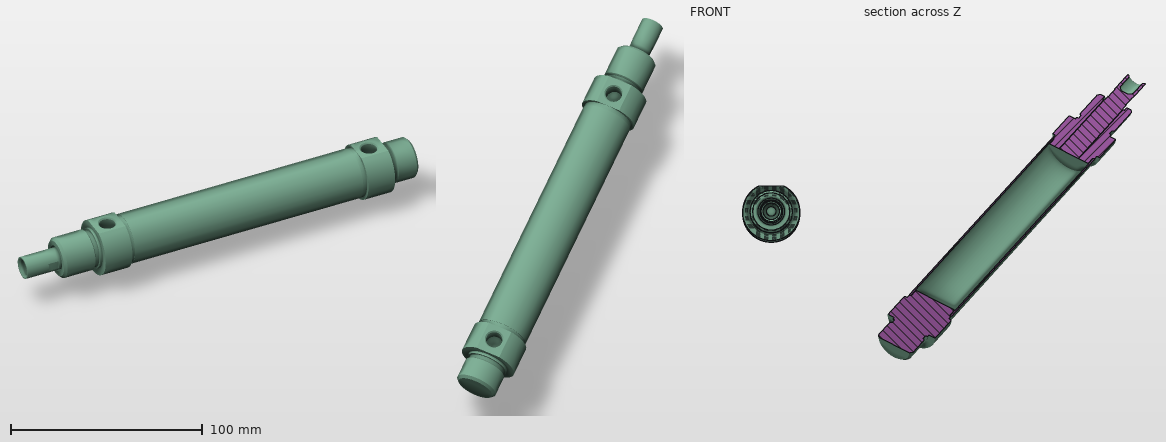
import cadquery as cq
import math

PITCH_ANGLE = -0.35
PITCHED_LENGTH = 225.0

NOSE_START = 19.4
NOSE_LENGTH = 17.5
TAIL_LENGTH = 12.0
NECK_LENGTH = 2.7
COLLAR_LENGTH = 1.4
BLOCK_LENGTH = 15.5
SPIGOT_LENGTH = 2.3
PLUG_LENGTH = 4.5

BLOCK_DIAMETER = 30.0
TUBE_DIAMETER = 27.0
SPIGOT_DIAMETER = 26.5
TUBE_BORE = 25.0
THREAD_DIAMETER = 22.0
NECK_DIAMETER = 19.8
ROD_DIAMETER = 12.0
THREAD_CHAMFER = 1.4
NECK_TAPER = 0.7

FLAT_HEIGHT = 13.5
PORT_DIAMETER = 8.5
PORT_CHAMFER = 0.7
PORT_OFFSET = 8.0
REAR_PORT_FLOOR = 6.8
DRILL_POINT_ANGLE = 118.0

NOSE_RECESS_DIAMETER = 14.0
NOSE_RECESS_DEPTH = 2.3
WRENCH_FLAT_SPAN = 11.0
WRENCH_FLAT_LENGTH = 5.9
WRENCH_FLAT_GAP = 1.1
ROD_MOUTH_DIAMETER = 10.5
ROD_BORE_DIAMETER = 8.5
ROD_BORE_DEPTH = 11.3
ROD_BORE_TIP_DIAMETER = 5.0

PITCH = math.radians(abs(PITCH_ANGLE))
END_FACE_RADII = ROD_DIAMETER / 2 + THREAD_DIAMETER / 2 - THREAD_CHAMFER
OVERALL_LENGTH = (PITCHED_LENGTH - END_FACE_RADII * math.sin(PITCH)) / math.cos(PITCH)

FRONT_BLOCK_START = NOSE_START + NOSE_LENGTH + NECK_LENGTH + COLLAR_LENGTH
TUBE_START = FRONT_BLOCK_START + BLOCK_LENGTH + SPIGOT_LENGTH
REAR_HEAD_LENGTH = TAIL_LENGTH + NECK_LENGTH + COLLAR_LENGTH + BLOCK_LENGTH + SPIGOT_LENGTH
TUBE_END = OVERALL_LENGTH - REAR_HEAD_LENGTH
ROD_END = TUBE_START + PLUG_LENGTH


def cylinder(diameter, start, length):
    """Cylinder about the Y axis, from start towards +Y."""
    return cq.Workplane("XZ", origin=(0, start, 0)).circle(diameter / 2).extrude(-length)


def head_blank(thread_length):
    """Solid head: outer face at Y = 0, tube side towards +Y, port flat on top."""
    thread_radius = THREAD_DIAMETER / 2
    neck_radius = NECK_DIAMETER / 2
    neck_end = thread_length + NECK_LENGTH
    block_start = neck_end + COLLAR_LENGTH
    block_end = block_start + BLOCK_LENGTH
    spigot_end = block_end + SPIGOT_LENGTH
    plug_end = spigot_end + PLUG_LENGTH
    profile = [
        (0, 0),
        (thread_radius - THREAD_CHAMFER, 0),
        (thread_radius, THREAD_CHAMFER),
        (thread_radius, thread_length),
        (neck_radius, thread_length + NECK_TAPER),
        (neck_radius, neck_end),
        (thread_radius, neck_end),
        (thread_radius, block_start),
        (BLOCK_DIAMETER / 2, block_start),
        (BLOCK_DIAMETER / 2, block_end),
        (SPIGOT_DIAMETER / 2, block_end),
        (SPIGOT_DIAMETER / 2, spigot_end),
        (TUBE_BORE / 2, spigot_end),
        (TUBE_BORE / 2, plug_end),
        (0, plug_end),
    ]
    blank = cq.Workplane("XY").polyline(profile).close().revolve(360, (0, 0), (0, 1))
    above_flat = (
        cq.Workplane("XY", origin=(0, block_start, FLAT_HEIGHT))
        .rect(BLOCK_DIAMETER, 2 * BLOCK_LENGTH)
        .extrude(BLOCK_DIAMETER)
    )
    return blank.cut(above_flat)


def port_drill(position, floor_height):
    """Vertical port tool from floor_height up to the flat, flaring at its mouth."""
    bore_radius = PORT_DIAMETER / 2
    mouth_radius = bore_radius + PORT_CHAMFER
    flare_start = FLAT_HEIGHT - PORT_CHAMFER
    bore = (
        cq.Workplane("XY", origin=(0, position, floor_height))
        .circle(bore_radius)
        .extrude(FLAT_HEIGHT - floor_height)
    )
    flare = cq.Solid.makeCone(bore_radius, mouth_radius, PORT_CHAMFER, cq.Vector(0, position, flare_start))
    return bore.union(cq.Workplane(flare))


def make_front_head():
    """Front head with rod hole, nose recess and a port that reaches the rod."""
    port_position = FRONT_BLOCK_START + PORT_OFFSET
    head = head_blank(NOSE_LENGTH).translate((0, NOSE_START, 0))
    head = head.cut(cylinder(ROD_DIAMETER, 0, OVERALL_LENGTH))
    head = head.cut(cylinder(NOSE_RECESS_DIAMETER, NOSE_START, NOSE_RECESS_DEPTH))
    return head.cut(port_drill(port_position, 0))


def make_rear_head():
    """Solid rear head with a blind, cone-bottomed port."""
    port_position = TAIL_LENGTH + NECK_LENGTH + COLLAR_LENGTH + PORT_OFFSET
    port_radius = PORT_DIAMETER / 2
    cone_height = port_radius / math.tan(math.radians(DRILL_POINT_ANGLE / 2))
    cone_tip = cq.Vector(0, port_position, REAR_PORT_FLOOR - cone_height)
    cone = cq.Workplane(cq.Solid.makeCone(0, port_radius, cone_height, cone_tip))
    head = head_blank(TAIL_LENGTH).cut(port_drill(port_position, REAR_PORT_FLOOR)).cut(cone)
    return head.mirror("XZ").translate((0, OVERALL_LENGTH, 0))


def make_tube():
    """Plain tube spanning the two heads."""
    length = TUBE_END - TUBE_START
    return cylinder(TUBE_DIAMETER, TUBE_START, length).cut(cylinder(TUBE_BORE, TUBE_START, length))


def make_rod():
    """Piston rod with a chamfered, taper-bottomed bore at its tip and two wrench flats."""
    rod = cylinder(ROD_DIAMETER, 0, ROD_END)
    bore_radius = ROD_BORE_DIAMETER / 2
    tip_radius = ROD_BORE_TIP_DIAMETER / 2
    mouth_radius = ROD_MOUTH_DIAMETER / 2
    mouth_length = mouth_radius - bore_radius
    taper_length = bore_radius - tip_radius
    bore_profile = [
        (0, 0),
        (mouth_radius, 0),
        (bore_radius, mouth_length),
        (bore_radius, ROD_BORE_DEPTH - taper_length),
        (tip_radius, ROD_BORE_DEPTH),
        (0, ROD_BORE_DEPTH),
    ]
    rod = rod.cut(cq.Workplane("XY").polyline(bore_profile).close().revolve(360, (0, 0), (0, 1)))
    flats_center = NOSE_START - WRENCH_FLAT_GAP - WRENCH_FLAT_LENGTH / 2
    for side in (-1, 1):
        relief = cq.Workplane("XY").box(ROD_DIAMETER, WRENCH_FLAT_LENGTH, ROD_DIAMETER)
        rod = rod.cut(relief.translate((side * (WRENCH_FLAT_SPAN + ROD_DIAMETER) / 2, flats_center, 0)))
    return rod


def place(body):
    """Centre the assembly along Y and pitch it about X."""
    return body.translate((0, -OVERALL_LENGTH / 2, 0)).rotate((0, 0, 0), (1, 0, 0), PITCH_ANGLE)


front_head = place(make_front_head())
rear_head = place(make_rear_head())
tube = place(make_tube())
rod = place(make_rod())

result = cq.Compound.makeCompound([front_head.val(), rear_head.val(), tube.val(), rod.val()])